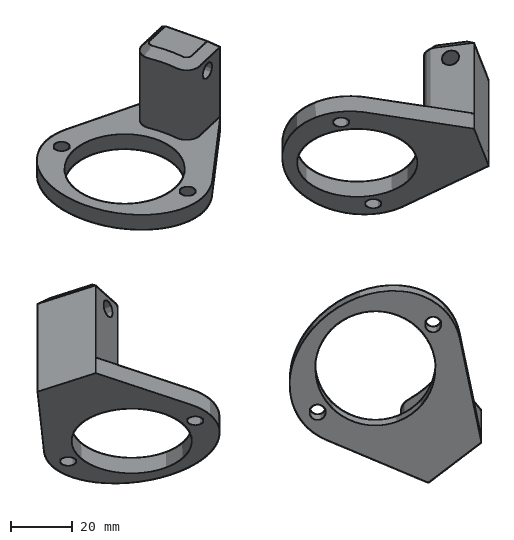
import cadquery as cq
import math

plate_thickness = 6.0
plate_half_width = 30.0
plate_half_depth = 24.05
back_y = 41.3
bore_diameter = 39.0
screw_hole_diameter = 5.2
screw_hole_spacing = 48.0

post_width = 22.0
total_height = 36.7
post_corner_radius = 5.0
post_top_chamfer = 3.0
cross_hole_diameter = 5.7
cross_hole_from_back = 7.85
cross_hole_height = 29.0


def tangent_point(x, y):
    """Point on the +X side of the plate ellipse where the line from (x, y) touches it."""
    u = x / plate_half_width
    v = y / plate_half_depth
    angle = math.atan2(v, u) - math.acos(1 / math.hypot(u, v))
    return plate_half_width * math.cos(angle), plate_half_depth * math.sin(angle)


def make_plate():
    tail_half_width = post_width / 2
    touch_x, touch_y = tangent_point(tail_half_width, back_y)
    tail = (
        cq.Workplane("XY")
        .polyline([
            (-tail_half_width, back_y),
            (tail_half_width, back_y),
            (touch_x, touch_y),
            (-touch_x, touch_y),
        ])
        .close()
        .extrude(plate_thickness)
    )
    ring = cq.Workplane("XY").ellipse(plate_half_width, plate_half_depth).extrude(plate_thickness)
    return ring.union(tail)


def make_post():
    hollow_radius = plate_half_width**2 / plate_half_depth
    front_cutter = (
        cq.Workplane("XY")
        .center(0, plate_half_depth - hollow_radius)
        .circle(hollow_radius)
        .extrude(total_height)
    )
    post = (
        cq.Workplane("XY")
        .box(post_width, back_y, total_height, centered=(True, False, False))
        .cut(front_cutter)
    )
    return post.edges("|Z and (not >Y)").fillet(post_corner_radius).faces(">Z").chamfer(post_top_chamfer)


def make_holes():
    bore = cq.Workplane("XY").circle(bore_diameter / 2).extrude(plate_thickness)
    screw_holes = (
        cq.Workplane("XY")
        .pushPoints([(side * screw_hole_spacing / 2, 0) for side in (-1, 1)])
        .circle(screw_hole_diameter / 2)
        .extrude(plate_thickness)
    )
    cross_hole = (
        cq.Workplane("YZ")
        .center(back_y - cross_hole_from_back, cross_hole_height)
        .circle(cross_hole_diameter / 2)
        .extrude(post_width / 2, both=True)
    )
    return bore.union(screw_holes).union(cross_hole)


result = make_plate().union(make_post()).cut(make_holes())